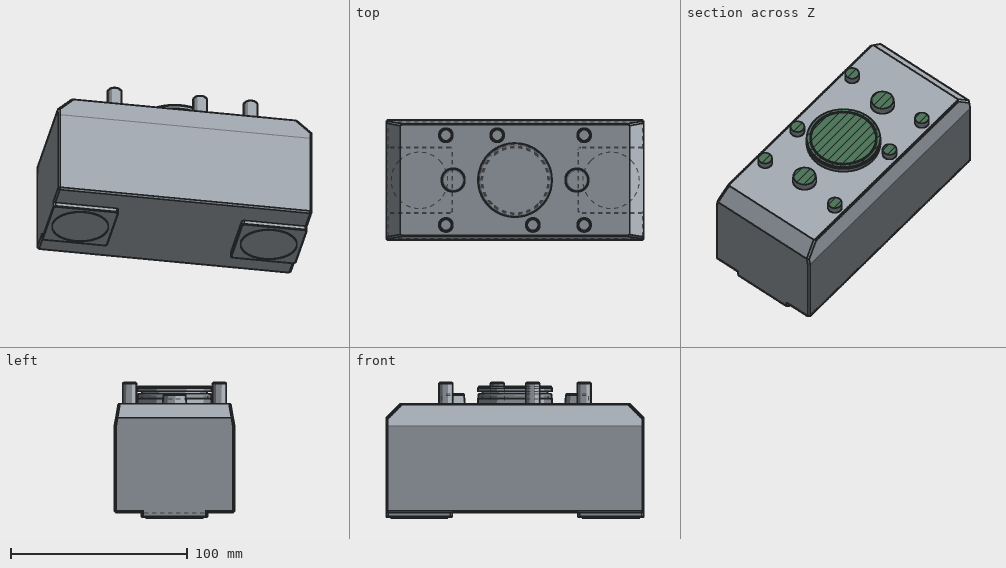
import cadquery as cq
import math

LENGTH = 146.0
WIDTH = 68.0
HEIGHT = 77.0

BLOCK_BOTTOM = 3.0
BLOCK_TOP = 64.8
END_BEVEL = 8.2
SIDE_TAPER_HEIGHT = 12.5
SIDE_TAPER_ANGLE = 10.0
CORNER_CHAMFER = 1.0
TOP_EDGE_CHAMFER = 0.6

PAD_SIZE = 37.5
PAD_CHAMFER = 1.2
PAD_BOTTOM_CHAMFER = 0.5
PAD_TOP = 5.0
DISC_DIAMETER = 32.0
DISC_HEIGHT = 0.5

SPIGOT_DIAMETER = 42.0
SPIGOT_TOP = 74.6
SPIGOT_BEVEL_HEIGHT = 1.2
SPIGOT_BEVEL_INSET = 0.7
SPIGOT_TOP_ROUNDING = 0.3
GROOVE_DIAMETER = 37.0
GROOVE_BOTTOM = 67.5
GROOVE_TOP = 71.7
SEAL_DIAMETER = 41.8
SEAL_THICKNESS = 2.0
SEAL_HEIGHT = 3.0
SEAL_EMBEDMENT = 0.1

PIN_DIAMETER = 8.0
PIN_CHAMFER = 0.9
PIN_ROW_Y = 25.4
PIN_OUTER_X = 39.1
PIN_INNER_X = 10.1
BUTTON_X = 35.0
BUTTON_DIAMETER = 13.5
BUTTON_SHOULDER_DIAMETER = 12.5
BUTTON_TOP_DIAMETER = 11.5
BUTTON_BASE_HEIGHT = 0.3
BUTTON_SHOULDER = 69.5
BUTTON_TOP = 70.4
BUTTON_TOP_ROUNDING = 0.3


def revolve_about_z(profile):
    """Turn (radius, height) points, closed on the Z axis, into a solid."""
    points = [(0, profile[0][1])] + profile + [(0, profile[-1][1])]
    return cq.Workplane("XZ").polyline(points).close().revolve(360, (0, 0), (0, 1))


def make_block():
    half_length = LENGTH / 2
    half_width = WIDTH / 2
    taper = SIDE_TAPER_HEIGHT * math.tan(math.radians(SIDE_TAPER_ANGLE))
    bevelled = (
        cq.Workplane("XZ")
        .moveTo(-half_length, BLOCK_BOTTOM)
        .lineTo(half_length, BLOCK_BOTTOM)
        .lineTo(half_length, BLOCK_TOP - END_BEVEL)
        .lineTo(half_length - END_BEVEL, BLOCK_TOP)
        .lineTo(END_BEVEL - half_length, BLOCK_TOP)
        .lineTo(-half_length, BLOCK_TOP - END_BEVEL)
        .close()
        .extrude(half_width, both=True)
    )
    tapered = (
        cq.Workplane("YZ")
        .moveTo(-half_width, BLOCK_BOTTOM)
        .lineTo(half_width, BLOCK_BOTTOM)
        .lineTo(half_width, BLOCK_TOP - SIDE_TAPER_HEIGHT)
        .lineTo(half_width - taper, BLOCK_TOP)
        .lineTo(taper - half_width, BLOCK_TOP)
        .lineTo(-half_width, BLOCK_TOP - SIDE_TAPER_HEIGHT)
        .close()
        .extrude(half_length, both=True)
    )
    block = bevelled.intersect(tapered)
    block = block.edges("(not #Z) and (not |X) and (not |Y)").chamfer(CORNER_CHAMFER)
    block = block.faces(">Z").edges("|X").chamfer(TOP_EDGE_CHAMFER)
    return block.faces("<Z").edges().chamfer(CORNER_CHAMFER)


def make_foot(side):
    center_x = side * (LENGTH - PAD_SIZE) / 2
    pad = (
        cq.Workplane("XY", origin=(center_x, 0, DISC_HEIGHT))
        .rect(PAD_SIZE, PAD_SIZE)
        .extrude(PAD_TOP - DISC_HEIGHT)
        .edges("|Z")
        .chamfer(PAD_CHAMFER)
        .faces("<Z")
        .chamfer(PAD_BOTTOM_CHAMFER)
    )
    disc = cq.Workplane("XY", origin=(center_x, 0, 0)).circle(DISC_DIAMETER / 2).extrude(DISC_HEIGHT)
    return pad.union(disc)


def make_spigot():
    radius = SPIGOT_DIAMETER / 2
    groove_radius = GROOVE_DIAMETER / 2
    core = revolve_about_z([
        (radius, BLOCK_TOP),
        (radius, GROOVE_BOTTOM),
        (groove_radius, GROOVE_BOTTOM),
        (groove_radius, GROOVE_TOP),
        (radius, GROOVE_TOP),
        (radius, SPIGOT_TOP - SPIGOT_BEVEL_HEIGHT),
        (radius - SPIGOT_BEVEL_INSET, SPIGOT_TOP),
    ])
    core = core.faces(">Z").edges().fillet(SPIGOT_TOP_ROUNDING)
    return core.union(make_seal())


def make_seal():
    """Ring with rounded top and bottom, set slightly into the groove floor."""
    outer = SEAL_DIAMETER / 2
    inner = outer - SEAL_THICKNESS
    middle = (outer + inner) / 2
    rounding = SEAL_THICKNESS / 2
    bottom = GROOVE_BOTTOM - SEAL_EMBEDMENT
    top = bottom + SEAL_HEIGHT
    return (
        cq.Workplane("XZ")
        .moveTo(outer, bottom + rounding)
        .lineTo(outer, top - rounding)
        .threePointArc((middle, top), (inner, top - rounding))
        .lineTo(inner, bottom + rounding)
        .threePointArc((middle, bottom), (outer, bottom + rounding))
        .close()
        .revolve(360, (0, 0), (0, 1))
    )


def make_pin(x, y):
    return (
        cq.Workplane("XY", origin=(x, y, BLOCK_TOP))
        .circle(PIN_DIAMETER / 2)
        .extrude(HEIGHT - BLOCK_TOP)
        .faces(">Z")
        .chamfer(PIN_CHAMFER)
    )


def make_button(x):
    button = revolve_about_z([
        (BUTTON_DIAMETER / 2, BLOCK_TOP),
        (BUTTON_DIAMETER / 2, BLOCK_TOP + BUTTON_BASE_HEIGHT),
        (BUTTON_SHOULDER_DIAMETER / 2, BUTTON_SHOULDER),
        (BUTTON_TOP_DIAMETER / 2, BUTTON_TOP),
    ])
    return button.faces(">Z").edges().fillet(BUTTON_TOP_ROUNDING).translate((x, 0, 0))


result = make_block().union(make_spigot())
for side in (-1, 1):
    result = result.union(make_foot(side)).union(make_button(side * BUTTON_X))
    for x in (-PIN_OUTER_X, side * -PIN_INNER_X, PIN_OUTER_X):
        result = result.union(make_pin(x, side * PIN_ROW_Y))